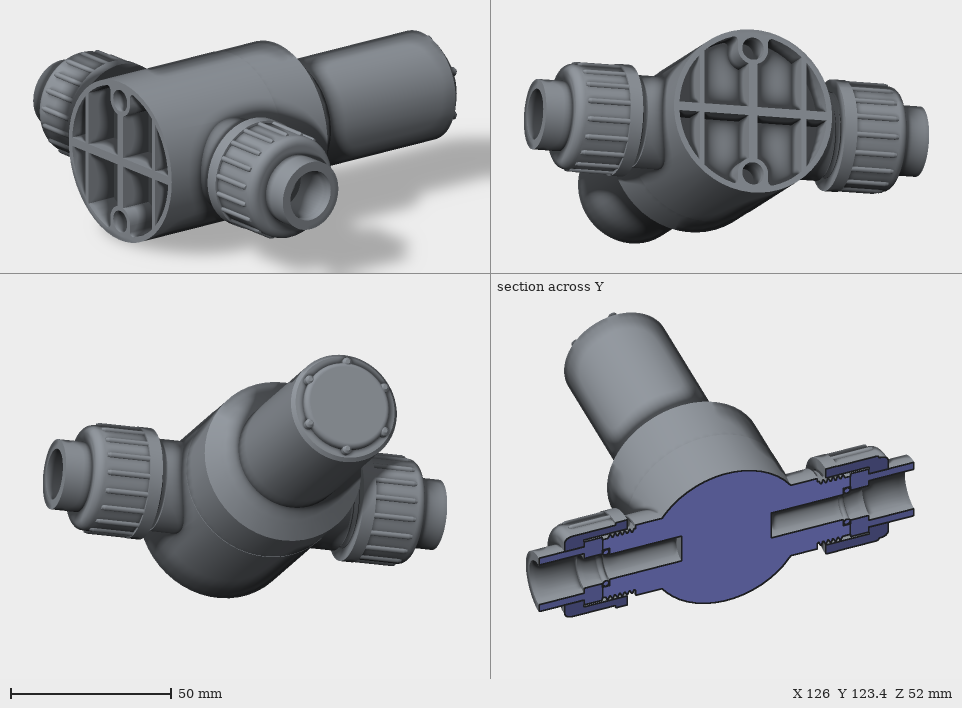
import cadquery as cq
import math

overall_length = 126.0
overall_depth = 123.4
pipe_end = overall_length / 2
sides = (1, -1)

housing_diameter = 52.0
base_y = -housing_diameter / 2
seam_y = 18.6

rim_thickness = 1.8
pocket_depth = 10.1
main_rib_thickness = 2.8
side_rib_thickness = 1.5
side_rib_x = 16.8
screw_boss_diameter = 10.0
screw_hole_diameter = 7.0
screw_z = 19.9
boss_root_radius = 1.3

nozzle_diameter = 29.0
nozzle_shoulder_x = 30.6
thread_crest_diameter = 27.0
thread_root_diameter = 24.0
thread_pitch = 1.6
thread_turn_gap = 0.06
thread_base_width = thread_pitch - thread_turn_gap
thread_crest_width = 0.1
thread_embedding = 0.1
thread_clearance = 0.3
thread_top_crest_x = 32.5
thread_turns_to_top_crest = 2.5
thread_start_x = thread_top_crest_x - thread_turns_to_top_crest * thread_pitch
thread_turns = 7
nozzle_end_x = 41.6
flow_bore_diameter = 10.0
flow_bore_floor_x = 15.1

seal_inner_diameter = 10.5
seal_outer_diameter = 15.0
seal_section = (seal_outer_diameter - seal_inner_diameter) / 2

tail_diameter = 22.0
tail_collar_diameter = 26.0
tail_collar_x = 47.9
tail_bore_diameter = 12.0
socket_diameter = 16.0
socket_depth = 15.1

nut_inner_x = 33.3
nut_flange_x = 37.3
nut_outer_x = 54.4
nut_diameter = 33.0
nut_flange_diameter = 35.0
nut_edge_radius = 2.5
nut_bore_diameter = thread_crest_diameter + thread_clearance
grip_count = 18
grip_angles_by_side = {1: 9.7, -1: 6.3}
grip_radius = 0.9
grip_end_x = 51.2
grip_taper_length = 1.0
grip_tip_radius = 0.6

bonnet_diameter = 51.8
bonnet_shoulder_y = 35.9
neck_start_y = 43.8
neck_diameter = 35.0
neck_end_y = 94.5
neck_chamfer = 1.1

cap_top_y = base_y + overall_depth
cap_diameter = 28.0
cap_edge_radius = 1.5
cap_pin_count = 6
cap_pin_diameter = 2.9
cap_pin_circle_diameter = 28.5
cap_pin_chamfer = 0.8


def rod_y(diameter, start_y, end_y):
    """Cylinder on the valve axis."""
    return cq.Workplane("XZ", origin=(0, start_y, 0)).circle(diameter / 2).extrude(start_y - end_y)


def rod_x(diameter, start_x, end_x):
    """Cylinder on the pipe axis."""
    return cq.Workplane("YZ", origin=(start_x, 0, 0)).circle(diameter / 2).extrude(end_x - start_x)


def at_end(solid, side):
    """The given +X solid, turned half a turn to the -X end when the side is -1."""
    return solid if side == 1 else solid.rotate((0, 0, 0), (0, 0, 1), 180)


def base_bar(width, height, x=0, z=0):
    """Rectangular bar as deep as the base pockets."""
    return (
        cq.Workplane("XZ", origin=(0, base_y, 0))
        .center(x, z)
        .rect(width, height)
        .extrude(-pocket_depth)
    )


def base_pockets():
    """Volume removed from the base, leaving the rim, the ribs and the screw bosses."""
    pocket_radius = housing_diameter / 2 - rim_thickness
    pockets = rod_y(2 * pocket_radius, base_y, base_y + pocket_depth)
    for side in sides:
        boss = (
            cq.Workplane("XZ", origin=(0, base_y, side * screw_z))
            .circle(screw_boss_diameter / 2)
            .extrude(-pocket_depth)
        )
        web_height = housing_diameter / 2 - screw_z
        web_z = side * (screw_z + web_height / 2)
        web = base_bar(screw_boss_diameter, web_height, z=web_z)
        pockets = pockets.cut(boss).cut(web)

    margin = boss_root_radius / 10
    web_half_width = screw_boss_diameter / 2
    root_z = math.sqrt(pocket_radius**2 - web_half_width**2)
    for x in (-web_half_width, web_half_width):
        for z in (-root_z, root_z):
            root_edge = cq.selectors.BoxSelector(
                (x - margin, base_y - margin, z - margin),
                (x + margin, base_y + pocket_depth + margin, z + margin),
            )
            pockets = pockets.edges(root_edge).fillet(boss_root_radius)

    pockets = pockets.cut(base_bar(housing_diameter, main_rib_thickness))
    pockets = pockets.cut(base_bar(main_rib_thickness, housing_diameter))
    for x in (-side_rib_x, side_rib_x):
        pockets = pockets.cut(base_bar(side_rib_thickness, housing_diameter, x=x))
    return pockets


def thread_ridge():
    """Right-handed helical ridge around the +X nozzle."""
    root_radius = thread_root_diameter / 2
    crest_radius = thread_crest_diameter / 2
    inner_radius = root_radius - thread_embedding
    half_base = thread_base_width / 2
    half_crest = thread_crest_width / 2
    path = cq.Wire.makeHelix(thread_pitch, thread_turns * thread_pitch, root_radius)
    ridge = (
        cq.Workplane("XZ")
        .polyline(
            [
                (inner_radius, -half_base),
                (crest_radius, -half_crest),
                (crest_radius, half_crest),
                (inner_radius, half_base),
            ]
        )
        .close()
        .sweep(cq.Workplane(obj=path), isFrenet=True)
    )
    return ridge.rotate((0, 0, 0), (0, 1, 0), 90).translate((thread_start_x, 0, 0))


def make_nozzle():
    threaded_spigot = rod_x(thread_root_diameter, 0, nozzle_end_x).union(thread_ridge())
    return rod_x(nozzle_diameter, 0, nozzle_shoulder_x).union(threaded_spigot)


def make_housing():
    housing = rod_y(housing_diameter, base_y, seam_y)
    nozzle = make_nozzle()
    for side in sides:
        housing = housing.union(at_end(nozzle, side))

    flow_bore = rod_x(flow_bore_diameter, flow_bore_floor_x, nozzle_end_x)
    seal_seat = rod_x(seal_outer_diameter, nozzle_end_x - seal_section, nozzle_end_x)
    bore = flow_bore.union(seal_seat)
    for side in sides:
        housing = housing.cut(at_end(bore, side))

    screw_holes = (
        cq.Workplane("XZ", origin=(0, base_y, 0))
        .pushPoints([(0, -screw_z), (0, screw_z)])
        .circle(screw_hole_diameter / 2)
        .extrude(-pocket_depth)
    )
    return housing.cut(base_pockets()).cut(screw_holes)


def make_seal():
    centre_radius = (seal_inner_diameter + seal_section) / 2
    return (
        cq.Workplane("XY", origin=(nozzle_end_x - seal_section / 2, 0, 0))
        .center(0, centre_radius)
        .circle(seal_section / 2)
        .revolve(360, (0, -centre_radius), (1, -centre_radius))
    )


def make_tail():
    tail = rod_x(tail_diameter, nozzle_end_x, pipe_end)
    tail = tail.union(rod_x(tail_collar_diameter, nozzle_end_x, tail_collar_x))
    tail = tail.cut(rod_x(tail_bore_diameter, nozzle_end_x, pipe_end))
    return tail.cut(rod_x(socket_diameter, pipe_end - socket_depth, pipe_end))


def make_grip():
    """One rounded grip bar with a tapered outer end."""
    taper_start_x = grip_end_x - grip_taper_length
    bar = rod_x(2 * grip_radius, nut_inner_x, taper_start_x)
    taper = (
        cq.Workplane("YZ", origin=(taper_start_x, 0, 0))
        .circle(grip_radius)
        .workplane(offset=grip_taper_length)
        .circle(grip_tip_radius)
        .loft()
    )
    return bar.union(taper).translate((0, nut_diameter / 2, 0))


def make_nut(first_grip_angle):
    nut = rod_x(nut_diameter, nut_inner_x, nut_outer_x).faces(">X").edges().fillet(nut_edge_radius)
    nut = nut.union(rod_x(nut_flange_diameter, nut_inner_x, nut_flange_x))
    grip = make_grip()
    for index in range(grip_count):
        angle = first_grip_angle + index * 360 / grip_count
        nut = nut.union(grip.rotate((0, 0, 0), (1, 0, 0), angle))
    nut = nut.cut(rod_x(nut_bore_diameter, nut_inner_x, tail_collar_x))
    return nut.cut(rod_x(tail_diameter, nut_inner_x, nut_outer_x))


def make_bonnet():
    bonnet_radius = bonnet_diameter / 2
    neck_radius = neck_diameter / 2
    return (
        cq.Workplane("XY")
        .moveTo(0, seam_y)
        .lineTo(bonnet_radius, seam_y)
        .lineTo(bonnet_radius, bonnet_shoulder_y)
        .lineTo(neck_radius, neck_start_y)
        .lineTo(neck_radius, neck_end_y - neck_chamfer)
        .lineTo(neck_radius - neck_chamfer, neck_end_y)
        .lineTo(0, neck_end_y)
        .close()
        .revolve(360, (0, 0), (0, 1))
    )


def make_cap():
    cap = rod_y(cap_diameter, neck_end_y, cap_top_y).faces(">Y").edges().fillet(cap_edge_radius)
    pins = (
        cq.Workplane("XZ", origin=(0, neck_end_y, 0))
        .polarArray(cap_pin_circle_diameter / 2, 90, 360, cap_pin_count)
        .circle(cap_pin_diameter / 2)
        .extrude(neck_end_y - cap_top_y)
        .faces(">Y")
        .edges()
        .chamfer(cap_pin_chamfer)
    )
    return cap.union(pins)


housing = make_housing()
bonnet = make_bonnet()
cap = make_cap()

bodies = [housing, bonnet, cap]
for side in sides:
    seal = at_end(make_seal(), side)
    tail = at_end(make_tail(), side)
    nut = at_end(make_nut(grip_angles_by_side[side]), side)
    bodies += [seal, tail, nut]

result = cq.Compound.makeCompound([body.solids().val() for body in bodies])